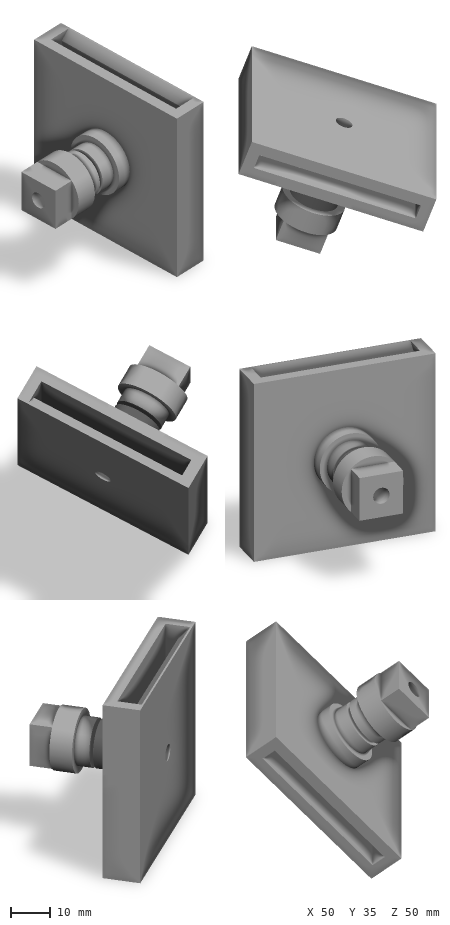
import cadquery as cq

plate_side = 50.0
plate_thickness = 10.0

slot_width = 43.8
front_wall = 3.0
back_wall = 3.0
back_rim = 0.5
lead_in = back_wall - back_rim

flange_diameter = 17.0
neck_diameter = 13.0
neck_length = 4.0
bore_diameter = 4.5

flange_length = 4.0
boss_length = flange_length + neck_length

gap = 1.0
head_length = 6.0
square_side = 12.0
square_length = 6.0
knob_start = boss_length + gap
head_start = knob_start + neck_length
square_start = head_start + head_length
knob_end = square_start + square_length


def front_plane(distance):
    """Plane facing -Y at the given distance in front of the plate."""
    return cq.Workplane("XZ", origin=(0, -distance, 0))


def cylinder(diameter, start, length):
    """Cylinder along -Y beginning at the given distance from the plate."""
    return front_plane(start).circle(diameter / 2).extrude(length)


def slot_cutter():
    """Straight slot with a 45 degree lead-in on the back wall at the top."""
    top = plate_side / 2
    front = front_wall
    back = plate_thickness - back_wall
    profile = [
        (front, -top),
        (back, -top),
        (back, top - lead_in),
        (back + lead_in, top),
        (front, top),
    ]
    return cq.Workplane("YZ").polyline(profile).close().extrude(slot_width / 2, both=True)


def make_holder():
    """Slotted plate with a stepped boss and a bore through both."""
    plate = front_plane(-plate_thickness).rect(plate_side, plate_side).extrude(plate_thickness)
    flange = cylinder(flange_diameter, 0, flange_length)
    neck = cylinder(neck_diameter, flange_length, neck_length)
    bore = cylinder(bore_diameter, -plate_thickness, plate_thickness + boss_length)
    return plate.union(flange).union(neck).cut(slot_cutter()).cut(bore)


def make_knob():
    """Neck, round head and square end with a bore through all three."""
    neck = cylinder(neck_diameter, knob_start, neck_length)
    head = cylinder(flange_diameter, head_start, head_length)
    square = front_plane(square_start).rect(square_side, square_side).extrude(square_length)
    bore = cylinder(bore_diameter, knob_start, knob_end - knob_start)
    return neck.union(head).union(square).cut(bore)


holder = make_holder()
knob = make_knob()

result = cq.Compound.makeCompound([holder.val(), knob.val()])